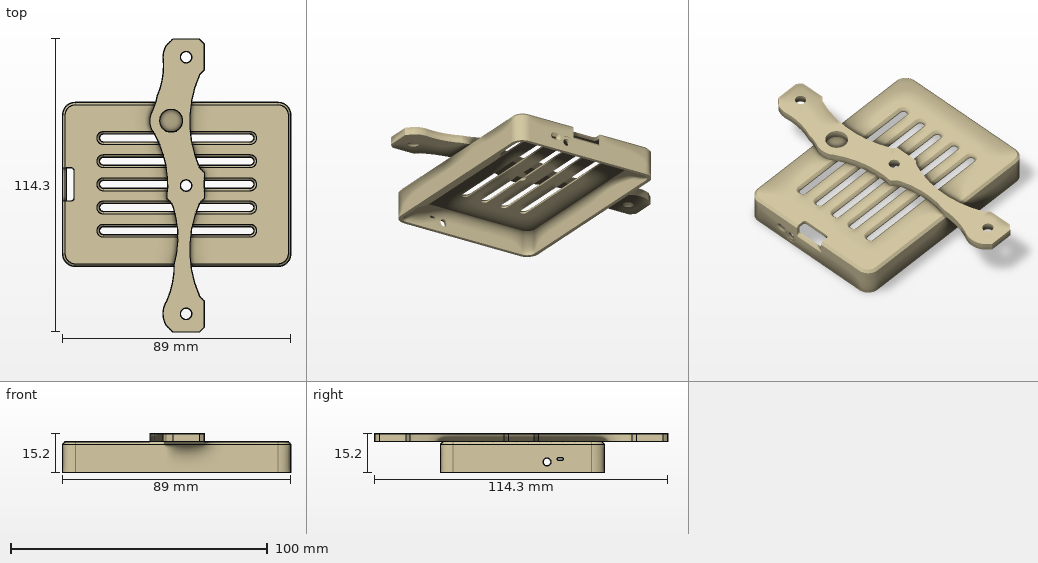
import cadquery as cq
import math

CASE_LENGTH = 89.0
CASE_WIDTH = 64.0
CASE_HEIGHT = 12.0
CORNER_RADIUS = 5.0
WALL = 1.6
EDGE_CHAMFER = 1.0

VENT_COUNT = 5
VENT_PITCH = 9.0
VENT_LENGTH = 62.2
VENT_WIDTH = 5.0

RIB_LENGTH = 58.3
RIB_THICKNESS = 2.0
RIB_END_RADIUS = 9.1

WINDOW_WIDTH = 12.8
WINDOW_DEPTH = 4.5
WINDOW_SILL_Z = 7.5
WINDOW_CORNER_RADIUS = 1.0

PORT_Y = 9.6
PORT_Z = 4.1
PORT_DIAMETER = 3.0
PORT_RECESS_DIAMETER = 5.0
PORT_RECESS_DEPTH = 0.2
SWITCH_Y = 14.7
SWITCH_Z = 5.3
SWITCH_LENGTH = 4.5
SWITCH_HEIGHT = 3.0

ARM_LENGTH = 114.3
ARM_THICKNESS = 3.2
ARM_X = 3.7
ARM_Y = -0.5
OUTER_SCREW_SPAN = 100.0
SCREW_PITCH = OUTER_SCREW_SPAN / 2
SCREW_DIAMETER = 4.3
MAGNET_DIAMETER = 8.9
MAGNET_X = -5.8
MAGNET_Y = 25.3

PAD_HALF_WIDTH = 7.1
PAD_CHAMFER = 2.0
PAD_FLAT = 5.0
WAIST_LEAD = 1.7
WAIST_RADIUS = 44.6

END_CHAMFER = 2.6
END_RADIUS = 9.0
LUG_RADIUS = 8.5
LOWER_END = (-7.5, -44.9)
LOWER_KINK = (-4.7, -30.9)
LOWER_WAIST_TOP = (-5.1, -8.1)
CENTRE_STEP = (-7.5, -5.0)
LUG_FOOT = (-12.2, 19.9)
LUG_START = (-13.4, 21.7)
LUG_END = (-13.0, 29.3)
UPPER_KINK = (-11.3, 34.9)
LOWER_FLANK_RADIUS = 34.3
LOWER_WAIST_RADIUS = 38.9
CENTRE_SWEEP_RADIUS = 41.1
STEP_RADIUS = 8.0
LUG_FLANK_RADIUS = 22.9
UPPER_FLANK_RADIUS = 29.7


def make_case():
    case = (
        cq.Workplane("XY")
        .rect(CASE_LENGTH, CASE_WIDTH)
        .extrude(CASE_HEIGHT)
        .edges("|Z")
        .fillet(CORNER_RADIUS)
        .faces(">Z")
        .chamfer(EDGE_CHAMFER)
    )
    cavity = (
        cq.Workplane("XY")
        .rect(CASE_LENGTH - 2 * WALL, CASE_WIDTH - 2 * WALL)
        .extrude(CASE_HEIGHT - WALL)
        .edges("|Z")
        .fillet(CORNER_RADIUS - WALL)
    )
    case = case.cut(cavity).union(make_rib())
    for i in range(VENT_COUNT):
        case = case.cut(make_vent((i - (VENT_COUNT - 1) / 2) * VENT_PITCH))
    return case.cut(make_window()).cut(make_port()).cut(make_switch_slot()).cut(make_centre_screw_hole())


def make_rib():
    """Rib along the wall, its two ends rounded back into the wall."""
    wall_y = CASE_WIDTH / 2 - WALL
    rib_y = wall_y - RIB_THICKNESS
    end_x = RIB_LENGTH / 2
    flat_x = end_x - math.sqrt(RIB_END_RADIUS**2 - (RIB_END_RADIUS - RIB_THICKNESS) ** 2)
    return (
        cq.Workplane("XY")
        .moveTo(-end_x, wall_y)
        .radiusArc((-flat_x, rib_y), -RIB_END_RADIUS)
        .lineTo(flat_x, rib_y)
        .radiusArc((end_x, wall_y), -RIB_END_RADIUS)
        .close()
        .extrude(CASE_HEIGHT - WALL)
    )


def countersunk_slot(plane, length, width, depth):
    """Slot cutter running down from the plane, narrowed by a 45-degree countersink at its mouth."""
    mouth = cq.Workplane(plane).slot2D(length, width).extrude(-EDGE_CHAMFER, taper=45)
    inset = 2 * EDGE_CHAMFER
    throat = cq.Workplane(plane).slot2D(length - inset, width - inset).extrude(-depth)
    return mouth.union(throat)


def make_vent(y):
    plane = cq.Plane(origin=(0, y, CASE_HEIGHT))
    return countersunk_slot(plane, VENT_LENGTH, VENT_WIDTH, 2 * WALL)


def make_window():
    outer_x = -CASE_LENGTH / 2
    window = (
        cq.Workplane("XY", origin=(outer_x, 0, WINDOW_SILL_Z))
        .rect(2 * WINDOW_DEPTH, WINDOW_WIDTH)
        .extrude(CASE_HEIGHT)
        .edges("|Z and >X")
        .fillet(WINDOW_CORNER_RADIUS)
    )
    sill_chamfer = (
        cq.Workplane("XZ", origin=(outer_x, WINDOW_WIDTH / 2, WINDOW_SILL_Z))
        .polyline([(0, 0), (EDGE_CHAMFER, 0), (0, -EDGE_CHAMFER)])
        .close()
        .extrude(WINDOW_WIDTH)
    )
    return window.union(sill_chamfer)


def end_wall_plane(y, z):
    """Plane on the -X wall, facing outwards."""
    return cq.Plane(origin=(-CASE_LENGTH / 2, y, z), xDir=(0, 1, 0), normal=(-1, 0, 0))


def make_port():
    """Round port, shallowly recessed on the outside and running through both end walls."""
    plane = end_wall_plane(PORT_Y, PORT_Z)
    bore = cq.Workplane(plane).circle(PORT_DIAMETER / 2).extrude(-CASE_LENGTH)
    recess = cq.Workplane(plane).circle(PORT_RECESS_DIAMETER / 2).extrude(-PORT_RECESS_DEPTH)
    return bore.union(recess)


def make_switch_slot():
    """Small countersunk slot beside the port, also running through both end walls."""
    plane = end_wall_plane(SWITCH_Y, SWITCH_Z)
    return countersunk_slot(plane, SWITCH_LENGTH, SWITCH_HEIGHT, CASE_LENGTH)


def make_centre_screw_hole():
    """Clearance through the roof below the centre hole of the arm."""
    return (
        cq.Workplane("XY", origin=(ARM_X, ARM_Y, CASE_HEIGHT))
        .circle(SCREW_DIAMETER / 2)
        .extrude(-2 * WALL)
    )


def make_arm():
    half = ARM_LENGTH / 2
    pad = PAD_HALF_WIDTH
    flat = pad - PAD_CHAMFER
    waist_x = pad - WAIST_LEAD
    waist_y = PAD_FLAT + WAIST_LEAD
    outline = (
        cq.Workplane("XY", origin=(ARM_X, ARM_Y, CASE_HEIGHT))
        .moveTo(flat, half)
        .lineTo(pad, half - PAD_CHAMFER)
        .lineTo(pad, SCREW_PITCH - PAD_FLAT)
        .lineTo(waist_x, SCREW_PITCH - waist_y)
        .radiusArc((waist_x, waist_y), -WAIST_RADIUS)
        .lineTo(pad, PAD_FLAT)
        .lineTo(pad, -PAD_FLAT)
        .lineTo(waist_x, -waist_y)
        .radiusArc((waist_x, waist_y - SCREW_PITCH), -WAIST_RADIUS)
        .lineTo(pad, PAD_FLAT - SCREW_PITCH)
        .lineTo(pad, PAD_CHAMFER - half)
        .lineTo(flat, -half)
        .lineTo(-flat, -half)
        .lineTo(-flat - END_CHAMFER, END_CHAMFER - half)
        .radiusArc(LOWER_END, END_RADIUS)
        .radiusArc(LOWER_KINK, -LOWER_FLANK_RADIUS)
        .radiusArc(LOWER_WAIST_TOP, -LOWER_WAIST_RADIUS)
        .radiusArc(CENTRE_STEP, -STEP_RADIUS)
        .radiusArc(LUG_FOOT, -CENTRE_SWEEP_RADIUS)
        .radiusArc(LUG_START, -STEP_RADIUS)
        .radiusArc(LUG_END, LUG_RADIUS)
        .radiusArc(UPPER_KINK, -LUG_FLANK_RADIUS)
        .radiusArc((-END_RADIUS, SCREW_PITCH), -UPPER_FLANK_RADIUS)
        .radiusArc((-flat - END_CHAMFER, half - END_CHAMFER), END_RADIUS)
        .lineTo(-flat, half)
        .close()
    )
    arm = outline.extrude(ARM_THICKNESS)
    for y in (-SCREW_PITCH, 0, SCREW_PITCH):
        arm = arm.cut(arm_hole(0, y, SCREW_DIAMETER))
    return arm.cut(arm_hole(MAGNET_X, MAGNET_Y, MAGNET_DIAMETER))


def arm_hole(x, y, diameter):
    centre = (ARM_X + x, ARM_Y + y, CASE_HEIGHT)
    return cq.Workplane("XY", origin=centre).circle(diameter / 2).extrude(ARM_THICKNESS)


case = make_case()
arm = make_arm()
result = cq.Compound.makeCompound([case.val(), arm.val()])